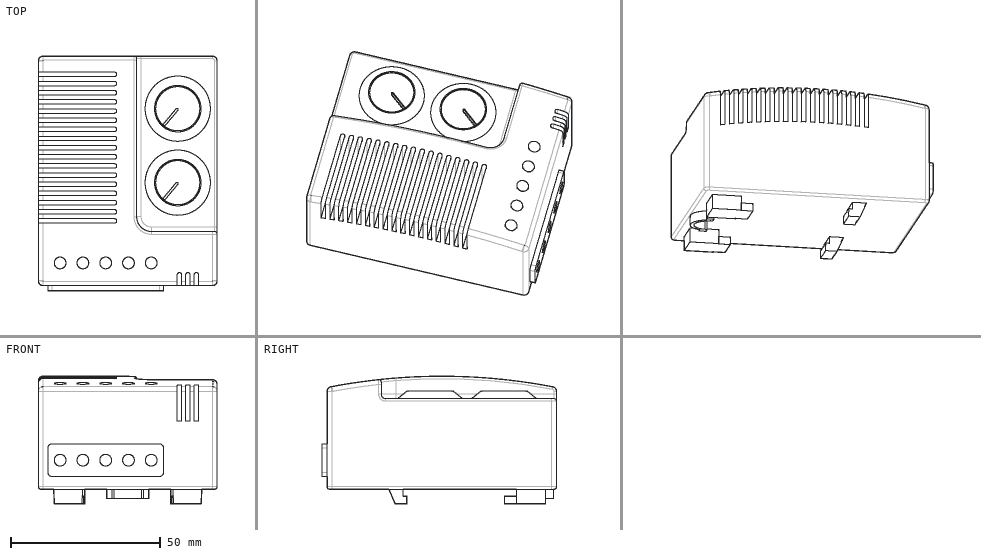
import cadquery as cq
import math


overall_depth = 78.6
width = 59.9
depth = 76.9
crown_height = 37.9
crown_radius = 196.5
corner_radius = 1.65
crown_edge_radius = 1.65
underside_radius = 0.9

panel_z = 30.35
panel_left = 3.0
panel_front = 18.15
panel_corner_radius = 4.95
panel_root_radius = 1.5
panel_edge_radius = 0.9

dial_x = 16.75
dial_front_y = 34.5
dial_count = 2
dial_pitch = 24.8
dial_base_radius = 10.9
dial_top_radius = 7.8
dial_height = 2.5
dial_face_radius = 7.4
dial_face_depth = 0.2
pointer_width = 0.8
pointer_depth = 0.8
pointer_angle = 230.0

vent_width = 1.5
vent_cut_overshoot = 0.8
side_vent_count = 17
side_vent_first_y = 21.7
side_vent_pitch = 3.1
side_vent_end_x = -3.7
side_vent_depth = 12.2
front_vent_count = 3
front_vent_first_x = 17.3
front_vent_pitch = 2.8
front_vent_end_y = 4.4
front_vent_bottom_z = 22.9

terminal_count = 5
terminal_pitch = 7.6
terminal_diameter = 3.9
wire_hole_depth = 7.9
terminal_center_x = -7.4
screw_row_y = 7.6
screw_hole_bottom_z = 27.5
wire_row_z = 9.75
plate_width = 38.75
plate_height = 10.9
plate_corner_radius = 1.4
plate_thickness = overall_depth - depth

foot_height = 4.9
foot_lip_top_z = -2.3
foot_inner_x = 14.4
foot_width = 10.15
foot_back_y = 73.2
foot_front_y = 63.35
foot_lip_front_y = 59.35
foot_lip_inset = 0.4
hook_inner_x = 15.1
hook_width = 9.75
hook_side_draft = 0.2
hook_root_front_y = 20.7
hook_root_back_y = 25.5
hook_tip_front_y = 22.8
hook_tip_back_y = 26.7
latch_width = 14.15
latch_height = 3.15
latch_front_y = 69.2
latch_flange_back_y = 71.5
latch_back_y = 75.85
latch_outer_radius = 5.9
latch_notch_radius = 4.6
latch_mouth_half_width = 5.35


def crowned_block(top_z):
    """Block over the housing footprint whose top is a cylinder crest at top_z along X."""
    half_depth = depth / 2
    edge_z = top_z - crown_radius + math.sqrt(crown_radius**2 - half_depth**2)
    return (
        cq.Workplane("YZ")
        .lineTo(depth, 0)
        .lineTo(depth, edge_z)
        .threePointArc((half_depth, top_z), (0, edge_z))
        .close()
        .extrude(width / 2, both=True)
    )


def slot_prism(length, bottom_z):
    """Vertical slot along +X from the origin, with a round end at x = length."""
    radius = vent_width / 2
    return (
        cq.Workplane("XY")
        .workplane(offset=bottom_z)
        .moveTo(0, -radius)
        .lineTo(length - radius, -radius)
        .threePointArc((length, 0), (length - radius, radius))
        .lineTo(0, radius)
        .close()
        .extrude(crown_height + vent_cut_overshoot - bottom_z)
    )


def terminal_points(row):
    """Centers of a row of terminal holes; row is the second sketch coordinate."""
    first_x = terminal_center_x - terminal_pitch * (terminal_count - 1) / 2
    return [(first_x + i * terminal_pitch, row) for i in range(terminal_count)]


def make_housing():
    """Solid housing with a crowned top and rounded edges."""
    housing = crowned_block(crown_height)
    housing = housing.edges("|Z").fillet(corner_radius)
    housing = housing.faces("<Z").edges().fillet(underside_radius)
    crown = housing.faces(cq.selectors.NearestToPointSelector((0, depth / 2, crown_height)))
    return crown.edges().fillet(crown_edge_radius)


def cut_panel(housing):
    """Lower the back right part of the crown to a flat dial panel."""
    pocket = (
        cq.Workplane("XY")
        .box(width, depth, crown_height, centered=False)
        .edges("|Z and <X and <Y")
        .fillet(panel_corner_radius)
        .faces("<Z")
        .edges("not(>X or >Y)")
        .fillet(panel_root_radius)
        .translate((panel_left, panel_front, panel_z))
    )
    housing = housing.cut(pocket)
    outer_edge = cq.selectors.NearestToPointSelector((width / 2, depth / 2, panel_z))
    return housing.edges(outer_edge).fillet(panel_edge_radius)


def make_dial():
    """Conical dial with a shallow dished face and a pointer groove, standing on Z = 0."""
    dial = (
        cq.Workplane("XZ")
        .lineTo(dial_base_radius, 0)
        .lineTo(dial_top_radius, dial_height)
        .lineTo(dial_face_radius, dial_height)
        .lineTo(dial_face_radius, dial_height - dial_face_depth)
        .lineTo(0, dial_height - dial_face_depth)
        .close()
        .revolve(360, (0, 0, 0), (0, 1, 0))
    )
    groove_center = dial_face_radius / 2
    groove = (
        cq.Workplane("XY")
        .workplane(offset=dial_height - dial_face_depth - pointer_depth)
        .center(groove_center, 0)
        .slot2D(dial_face_radius, pointer_width)
        .extrude(pointer_depth)
        .rotate((0, 0, 0), (0, 0, 1), pointer_angle)
    )
    return dial.cut(groove)


def add_dials(housing):
    dial = make_dial()
    for i in range(dial_count):
        housing = housing.union(dial.translate((dial_x, dial_front_y + i * dial_pitch, panel_z)))
    return housing


def cut_side_vents(housing):
    """Slots open to the left wall and the crown, with floors that follow the crown."""
    slot_length = side_vent_end_x + width / 2
    above_floor = crowned_block(crown_height).cut(crowned_block(crown_height - side_vent_depth))
    slots = cq.Workplane("XY")
    for i in range(side_vent_count):
        y = side_vent_first_y + i * side_vent_pitch
        slots.add(slot_prism(slot_length, 0).translate((-width / 2, y, 0)))
    return housing.cut(slots.combine().intersect(above_floor))


def cut_front_vents(housing):
    slot = slot_prism(front_vent_end_y, front_vent_bottom_z).rotate((0, 0, 0), (0, 0, 1), 90)
    for i in range(front_vent_count):
        housing = housing.cut(slot.translate((front_vent_first_x + i * front_vent_pitch, 0, 0)))
    return housing


def add_terminals(housing):
    """Wire-entry plate on the front wall, its wire holes, and the screw holes above."""
    plate = (
        cq.Workplane("XZ")
        .center(terminal_center_x, wire_row_z)
        .rect(plate_width, plate_height)
        .extrude(plate_thickness)
        .edges("|Y")
        .fillet(plate_corner_radius)
    )
    wire_holes = (
        cq.Workplane("XZ", origin=(0, -plate_thickness, 0))
        .pushPoints(terminal_points(wire_row_z))
        .circle(terminal_diameter / 2)
        .extrude(-wire_hole_depth)
    )
    screw_holes = (
        cq.Workplane("XY", origin=(0, 0, crown_height))
        .pushPoints(terminal_points(screw_row_y))
        .circle(terminal_diameter / 2)
        .extrude(-(crown_height - screw_hole_bottom_z))
    )
    return housing.union(plate).cut(wire_holes).cut(screw_holes)


def make_foot():
    """Right-hand back foot with a lip that reaches under the rail."""
    block_depth = foot_back_y - foot_front_y
    block = cq.Workplane("XY").box(foot_width, block_depth, foot_height, centered=False)
    lip = cq.Workplane("XY").box(
        foot_width - 2 * foot_lip_inset,
        foot_front_y - foot_lip_front_y,
        foot_height + foot_lip_top_z,
        centered=False,
    )
    lip = lip.translate((foot_lip_inset, foot_lip_front_y - foot_front_y, 0))
    return block.union(lip).translate((foot_inner_x, foot_front_y, -foot_height))


def make_hook():
    """Right-hand front hook, narrowing downwards."""
    side_profile = (
        cq.Workplane("YZ", origin=(hook_inner_x, 0, 0))
        .moveTo(hook_root_front_y, 0)
        .lineTo(hook_root_back_y, 0)
        .lineTo(hook_root_back_y, foot_lip_top_z)
        .lineTo(hook_tip_back_y, foot_lip_top_z)
        .lineTo(hook_tip_back_y, -foot_height)
        .lineTo(hook_tip_front_y, -foot_height)
        .close()
        .extrude(hook_width)
    )
    hook_outer_x = hook_inner_x + hook_width
    front_profile = (
        cq.Workplane("XZ")
        .moveTo(hook_inner_x, 0)
        .lineTo(hook_outer_x, 0)
        .lineTo(hook_outer_x - hook_side_draft, -foot_height)
        .lineTo(hook_inner_x + hook_side_draft, -foot_height)
        .close()
        .extrude(-depth)
    )
    return side_profile.intersect(front_profile)


def make_latch():
    """Latch tab: a flat flange with a round finger pull bulging backwards."""
    flange_depth = latch_flange_back_y - latch_front_y
    bulge_center_y = latch_back_y - latch_outer_radius
    flange = (
        cq.Workplane("XY", origin=(0, latch_front_y + flange_depth / 2, 0))
        .rect(latch_width, flange_depth)
        .extrude(-latch_height)
    )
    bulge = (
        cq.Workplane("XY", origin=(0, bulge_center_y, 0))
        .circle(latch_outer_radius)
        .extrude(-latch_height)
    )
    notch = (
        cq.Workplane("XY", origin=(0, latch_front_y, 0))
        .moveTo(-latch_mouth_half_width, 0)
        .lineTo(-latch_notch_radius, bulge_center_y - latch_front_y)
        .threePointArc(
            (0, bulge_center_y - latch_front_y + latch_notch_radius),
            (latch_notch_radius, bulge_center_y - latch_front_y),
        )
        .lineTo(latch_mouth_half_width, 0)
        .close()
        .extrude(-latch_height)
    )
    front_trim = (
        cq.Workplane("XY", origin=(0, latch_front_y - latch_outer_radius, 0))
        .rect(latch_width, 2 * latch_outer_radius)
        .extrude(-latch_height)
    )
    return flange.union(bulge).cut(front_trim).cut(notch)


def add_rail_mount(housing):
    for support in (make_foot(), make_hook()):
        housing = housing.union(support).union(support.mirror("YZ"))
    return housing.union(make_latch())


result = make_housing()
result = cut_panel(result)
result = add_dials(result)
result = cut_side_vents(result)
result = cut_front_vents(result)
result = add_terminals(result)
result = add_rail_mount(result)